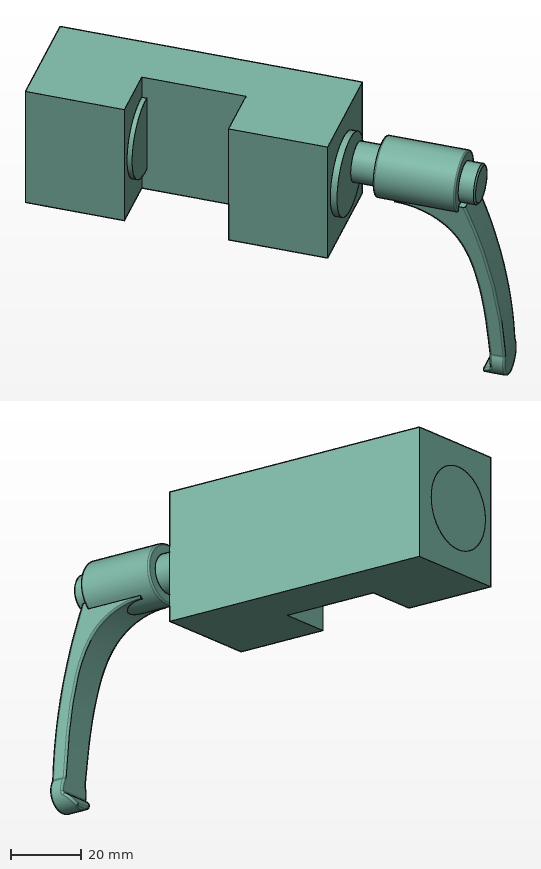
import cadquery as cq


block_length = 90.0
block_depth = 33.0
block_height = 39.0
jaw_opening = 31.0
jaw_depth = block_depth / 2
left_jaw_x = (block_length - jaw_opening) / 2
right_jaw_x = left_jaw_x + jaw_opening

plug_diameter = 25.0
plug_y = 15.0
left_plug_stand_out = 1.5
right_plug_stand_out = 2.0
right_seat_relief = 0.5
left_plug_end_x = left_jaw_x + left_plug_stand_out
right_seat_start_x = right_jaw_x - right_seat_relief
right_plug_end_x = block_length + right_plug_stand_out

spindle_diameter = 12.0
spindle_y = 21.5
spindle_chamfer = 0.5

hub_diameter = 18.0
hub_length = 24.5
hub_gap = 7.5
spindle_stand_out = 5.0
hub_start_x = right_plug_end_x + hub_gap
hub_end_x = hub_start_x + hub_length
hub_edge_radius = 0.5
spindle_end_x = hub_end_x + spindle_stand_out

arm_top_z = -4.8
arm_top_half_width = 5.9
arm_bottom_half_width = 4.85
knob_radius = 5.7
knob_z = -58.3
knob_bottom_z = knob_z - knob_radius
arm_edge_radius = 0.6
lever_tip_x = 137.79
arm_blank_length = lever_tip_x + 5.0
arm_top_corner = (126.0, arm_top_z)
arm_outer_middle = (134.3, -30.5)
arm_root = (105.0, -7.6)
arm_inner_points = [(114.4, -9.4), (121.3, -13.8), (126.0, -20.5), (129.3, -30.0), (131.6, -42.5)]
arm_inner_end = (133.4, -59.7)
hook_middle = (131.5, -61.0)
hook_tip = (130.2, -63.2)
hook_bottom = (131.4, knob_bottom_z)


def rod_along_x(diameter, start_x, end_x, y):
    """Solid cylinder parallel to X, centred on Z = 0."""
    plane = cq.Workplane("YZ", origin=(start_x, y, 0))
    return plane.circle(diameter / 2).extrude(end_x - start_x)


def make_block():
    """Block with a jaw opening in front and round seats for both plugs.

    The right seat nicks the back wall of the opening just ahead of its plug.
    """
    block = cq.Workplane("XY").box(
        block_length, block_depth, block_height, centered=(False, False, True)
    )
    opening = cq.Workplane("XY", origin=(left_jaw_x, 0, 0)).box(
        jaw_opening, jaw_depth, block_height, centered=(False, False, True)
    )
    left_seat = rod_along_x(plug_diameter, 0, left_plug_end_x, plug_y)
    right_seat = rod_along_x(plug_diameter, right_seat_start_x, block_length, plug_y)
    return block.cut(opening).cut(left_seat).cut(right_seat)


def make_left_plug():
    """Plug flush with the left end and standing into the jaw opening."""
    return rod_along_x(plug_diameter, 0, left_plug_end_x, plug_y)


def make_spindle_plug():
    """Right plug, flush with its jaw, with the eccentric spindle on its outer face."""
    plug = rod_along_x(plug_diameter, right_jaw_x, right_plug_end_x, plug_y)
    spindle = rod_along_x(spindle_diameter, right_plug_end_x, spindle_end_x, spindle_y)
    spindle = spindle.faces(">X").chamfer(spindle_chamfer)
    return plug.union(spindle)


def make_lever_arm():
    """Curved arm: its side outline crossed with its tapered outline across Y."""
    side = (
        cq.Workplane("XZ", origin=(0, spindle_y + hub_diameter / 2, 0))
        .moveTo(*arm_root)
        .spline(arm_inner_points + [arm_inner_end], includeCurrent=True)
        .threePointArc(hook_middle, hook_tip)
        .lineTo(*hook_bottom)
        .lineTo(lever_tip_x, knob_bottom_z)
        .threePointArc(arm_outer_middle, arm_top_corner)
        .lineTo(arm_root[0], arm_top_z)
        .close()
        .extrude(hub_diameter)
    )
    end_plane = cq.Workplane("YZ", origin=(0, spindle_y, 0))
    taper = (
        end_plane.polyline([
            (-arm_top_half_width, arm_top_z),
            (arm_top_half_width, arm_top_z),
            (arm_bottom_half_width, knob_z),
            (-arm_bottom_half_width, knob_z),
        ])
        .close()
        .extrude(arm_blank_length)
    )
    knob = end_plane.center(0, knob_z).circle(knob_radius).extrude(arm_blank_length)
    arm = side.intersect(taper.union(knob))
    return arm.edges("not (<X or >Z)").fillet(arm_edge_radius)


def make_lever():
    """Hub and arm in one piece, bored for the spindle."""
    hub = rod_along_x(hub_diameter, hub_start_x, hub_end_x, spindle_y)
    hub = hub.edges().fillet(hub_edge_radius)
    bore = rod_along_x(spindle_diameter, hub_start_x, spindle_end_x, spindle_y)
    return hub.union(make_lever_arm()).cut(bore)


block = make_block()
left_plug = make_left_plug()
spindle_plug = make_spindle_plug()
lever = make_lever()

result = cq.Compound.makeCompound([
    block.solids().val(),
    left_plug.solids().val(),
    spindle_plug.solids().val(),
    lever.solids().val(),
])